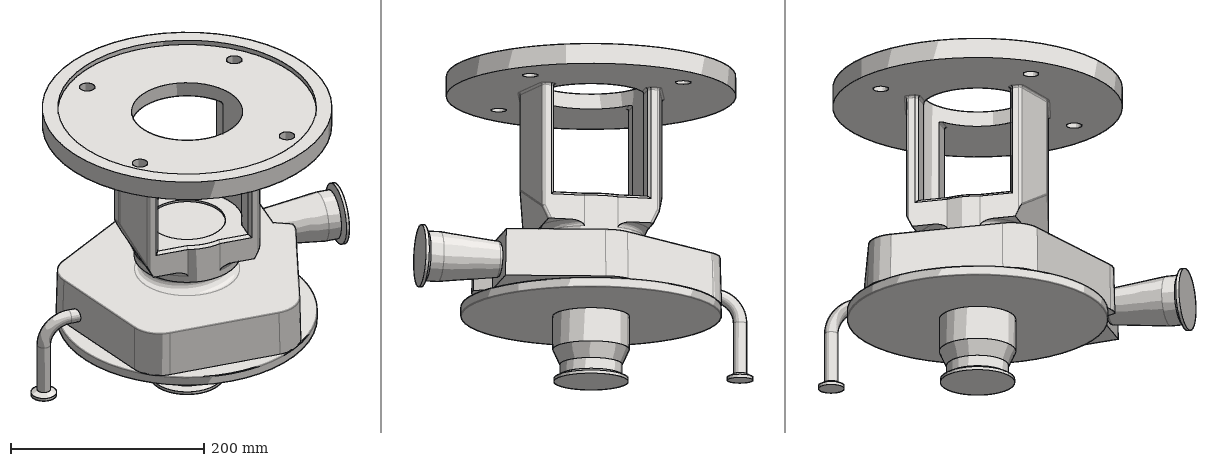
import cadquery as cq
import math

COVER_BOTTOM = 69.5
CASING_BOTTOM = 79.5
CASING_TOP = 129.5
COLLAR_BOTTOM = 145.5
YOKE_BOTTOM = 159.5
FLANGE_BOTTOM = 303.2
FLANGE_TOP = 324.5

FLANGE_DIAMETER = 300.0
RECESS_RADIUS = 134.0
RECESS_DEPTH = 5.2
BORE_RADIUS = 57.5
BOLT_SPACING = 161.5
BOLT_HOLE_DIAMETER = 16.0

YOKE_HALF_WIDTH = 52.0
YOKE_CORNER_Y = 61.5
YOKE_RIDGE_Y = 75.3
SLOPE_TOP = 199.8
SLOPE_FOOT_Y = 55.5
YOKE_EDGE_FILLET = 3.0
RIDGE_FILLET = 7.8
LEG_TOP_FILLET = 2.2
OPENING_HALF_WIDTH = 49.5
OPENING_FLOOR = 188.5
OPENING_CHAMFER = 3.0

COLLAR_RADIUS = 55.0
COLLAR_FILLET = 6.3
FLOOR_RECESS_RADIUS = 39.5
FLOOR_RECESS_DEPTH = 2.2
NECK_RADIUS = 45.0
NECK_FLARE = 9.5

CASING_APOTHEM = 116.0
CASING_SIDES = 5
CASING_CORNER_RADIUS = 32.5
CASING_DRAFT = 1.3
SHOULDER_Y = 116.0
SHOULDER_LEFT_X = -123.8
SHOULDER_RIGHT_X = -57.5
SHOULDER_TIP = (-48.0, 134.2)
TIP_ARC_START_X = -35.0
COVER_RADIUS = 135.0
EDGE_BREAK = 0.7

SUCTION_RADIUS = 39.5
SUCTION_END_RADIUS = 32.3
SUCTION_CONE_BOTTOM = 18.0
SUCTION_CONE_TOP = 34.0
SUCTION_RIM_RADIUS = 38.5

OUTLET_X = -91.2
OUTLET_Z = 103.5
OUTLET_END_Y = 199.8
OUTLET_RADIUS = 26.0
OUTLET_ROOT_RADIUS = 19.0
OUTLET_STRAIGHT = 20.5
OUTLET_CONE_END = 81.5
OUTLET_ROOT_ROUNDING = 3.0
OUTLET_RIM_RADIUS = 32.3

DRAIN_RADIUS = 7.0
DRAIN_Y = -157.5
DRAIN_Z = 97.5
DRAIN_BEND_RADIUS = 28.0
DRAIN_END_Z = 9.0
DRAIN_RIM_RADIUS = 13.5

RIM_THICKNESS = 3.5
FERRULE_LENGTH = 6.5

EDGE_MARGIN = 0.5
EMBED = 7.5


def cylinder(radius, bottom, top):
    return cq.Workplane("XY").workplane(offset=bottom).circle(radius).extrude(top - bottom)


def ferrule(rim_radius, pipe_radius):
    """Clamp rim at Z = 0, tapering to the pipe radius above it."""
    return (
        cq.Workplane("XZ")
        .lineTo(rim_radius, 0)
        .lineTo(rim_radius, RIM_THICKNESS)
        .lineTo(pipe_radius, FERRULE_LENGTH)
        .lineTo(0, FERRULE_LENGTH)
        .close()
        .revolve(360, (0, 0), (0, 1))
    )


def motor_flange():
    disc = cylinder(FLANGE_DIAMETER / 2, FLANGE_BOTTOM, FLANGE_TOP)
    recess = cylinder(RECESS_RADIUS, FLANGE_TOP - RECESS_DEPTH, FLANGE_TOP)
    holes = (
        cq.Workplane("XY")
        .workplane(offset=FLANGE_BOTTOM)
        .rect(BOLT_SPACING, BOLT_SPACING, forConstruction=True)
        .vertices()
        .circle(BOLT_HOLE_DIAMETER / 2)
        .extrude(FLANGE_TOP - FLANGE_BOTTOM)
    )
    return disc.cut(recess).cut(holes)


def yoke_plan():
    """Six-sided plan of the yoke, ridged on its front and back."""
    right = [(YOKE_HALF_WIDTH, -YOKE_CORNER_Y), (YOKE_HALF_WIDTH, YOKE_CORNER_Y)]
    left = [(-x, -y) for x, y in right]
    points = right + [(0, YOKE_RIDGE_Y)] + left + [(0, -YOKE_RIDGE_Y)]
    return cq.Workplane("XY").workplane(offset=YOKE_BOTTOM).polyline(points).close()


def yoke_block():
    """Solid yoke with sloping undersides and softened edges."""
    prism = yoke_plan().extrude(FLANGE_BOTTOM - YOKE_BOTTOM)
    prism = prism.edges("|Z").edges(">Y or <Y").fillet(RIDGE_FILLET)
    side_profile = (
        cq.Workplane("YZ")
        .moveTo(-SLOPE_FOOT_Y, YOKE_BOTTOM)
        .lineTo(SLOPE_FOOT_Y, YOKE_BOTTOM)
        .lineTo(YOKE_RIDGE_Y, SLOPE_TOP)
        .lineTo(YOKE_RIDGE_Y, FLANGE_BOTTOM)
        .lineTo(-YOKE_RIDGE_Y, FLANGE_BOTTOM)
        .lineTo(-YOKE_RIDGE_Y, SLOPE_TOP)
        .close()
        .extrude(YOKE_HALF_WIDTH, both=True)
    )
    block = prism.intersect(side_profile)
    slope_edges = cq.selectors.BoxSelector(
        (-YOKE_HALF_WIDTH, -YOKE_RIDGE_Y, YOKE_BOTTOM + EDGE_MARGIN),
        (YOKE_HALF_WIDTH, YOKE_RIDGE_Y, SLOPE_TOP + EDGE_MARGIN),
    )
    corner_edges = cq.StringSyntaxSelector("|Z and (<X or >X)")
    return block.edges(slope_edges + corner_edges).fillet(YOKE_EDGE_FILLET)


def collar_fillet():
    """Concave ring between the collar and the underside of the yoke."""
    outer = COLLAR_RADIUS + COLLAR_FILLET
    low = YOKE_BOTTOM - COLLAR_FILLET
    bulge = COLLAR_FILLET * (1 - math.sqrt(0.5))
    ring = (
        cq.Workplane("XZ")
        .moveTo(0, low)
        .lineTo(COLLAR_RADIUS, low)
        .threePointArc((COLLAR_RADIUS + bulge, YOKE_BOTTOM - bulge), (outer, YOKE_BOTTOM))
        .lineTo(0, YOKE_BOTTOM)
        .close()
        .revolve(360, (0, 0), (0, 1))
    )
    footprint = cq.Workplane("XY").workplane(offset=low).rect(2 * YOKE_HALF_WIDTH, 2 * SLOPE_FOOT_Y)
    return ring.intersect(footprint.extrude(COLLAR_FILLET))


def yoke():
    body = yoke_block().union(cylinder(COLLAR_RADIUS, COLLAR_BOTTOM, OPENING_FLOOR)).union(collar_fillet())
    opening = (
        cq.Workplane("XY")
        .workplane(offset=OPENING_FLOOR)
        .rect(4 * YOKE_HALF_WIDTH, 2 * OPENING_HALF_WIDTH)
        .extrude(FLANGE_BOTTOM - OPENING_FLOOR)
    )
    return body.cut(opening)


def neck():
    """Round neck that flares out onto the casing."""
    flare_top = CASING_TOP + NECK_FLARE
    bulge = NECK_FLARE * (1 - math.sqrt(0.5))
    return (
        cq.Workplane("XZ")
        .moveTo(0, CASING_TOP)
        .lineTo(NECK_RADIUS + NECK_FLARE, CASING_TOP)
        .threePointArc((NECK_RADIUS + bulge, CASING_TOP + bulge), (NECK_RADIUS, flare_top))
        .lineTo(NECK_RADIUS, COLLAR_BOTTOM)
        .lineTo(0, COLLAR_BOTTOM)
        .close()
        .revolve(360, (0, 0), (0, 1))
    )


def casing():
    """Drafted casing: a pentagon whose fifth corner is replaced by the outlet shoulder."""
    half_angle = math.pi / CASING_SIDES
    corner_distance = CASING_APOTHEM / math.cos(half_angle)
    corners = []
    for index in range(CASING_SIDES - 1):
        angle = math.pi + 2 * half_angle * index
        corners.append((corner_distance * math.cos(angle), corner_distance * math.sin(angle)))
    back_normal = 2 * half_angle
    arc_start_y = (CASING_APOTHEM - TIP_ARC_START_X * math.cos(back_normal)) / math.sin(back_normal)
    body = (
        cq.Workplane("XY")
        .workplane(offset=CASING_BOTTOM)
        .polyline([(SHOULDER_LEFT_X, SHOULDER_Y)] + corners + [(TIP_ARC_START_X, arc_start_y)])
        .tangentArcPoint(SHOULDER_TIP, relative=False)
        .lineTo(SHOULDER_RIGHT_X, SHOULDER_Y)
        .close()
        .extrude(CASING_TOP - CASING_BOTTOM, taper=CASING_DRAFT)
    )
    mid_height = (CASING_BOTTOM + CASING_TOP) / 2
    for x, y in corners:
        edge = cq.selectors.NearestToPointSelector((x, y, mid_height))
        body = body.edges(edge).fillet(CASING_CORNER_RADIUS)
    return body.faces(">Z").edges().fillet(EDGE_BREAK)


def cover():
    return cylinder(COVER_RADIUS, COVER_BOTTOM, CASING_BOTTOM).edges("%CIRCLE").fillet(EDGE_BREAK)


def suction_pipe():
    pipe = (
        cq.Workplane("XZ")
        .lineTo(SUCTION_END_RADIUS, 0)
        .lineTo(SUCTION_END_RADIUS, SUCTION_CONE_BOTTOM)
        .lineTo(SUCTION_RADIUS, SUCTION_CONE_TOP)
        .lineTo(SUCTION_RADIUS, COVER_BOTTOM)
        .lineTo(0, COVER_BOTTOM)
        .close()
        .revolve(360, (0, 0), (0, 1))
    )
    return pipe.union(ferrule(SUCTION_RIM_RADIUS, SUCTION_END_RADIUS))


def outlet_pipe():
    """Tapered outlet, built from its end face and turned to point along +Y."""
    root = OUTLET_CONE_END + OUTLET_ROOT_ROUNDING
    neck_radius = OUTLET_ROOT_RADIUS - OUTLET_ROOT_ROUNDING
    pipe = (
        cq.Workplane("XZ")
        .lineTo(OUTLET_RADIUS, 0)
        .lineTo(OUTLET_RADIUS, OUTLET_STRAIGHT)
        .lineTo(OUTLET_ROOT_RADIUS, OUTLET_CONE_END)
        .tangentArcPoint((neck_radius, root), relative=False)
        .lineTo(neck_radius, root + EMBED)
        .lineTo(0, root + EMBED)
        .close()
        .revolve(360, (0, 0), (0, 1))
    )
    pipe = pipe.union(ferrule(OUTLET_RIM_RADIUS, OUTLET_RADIUS))
    return pipe.rotate((0, 0, 0), (1, 0, 0), 90).translate((OUTLET_X, OUTLET_END_Y, OUTLET_Z))


def drain_pipe():
    """Thin pipe leaving the casing toward -Y and bending down to a ferrule."""
    bend_start_y = DRAIN_Y + DRAIN_BEND_RADIUS
    bend_end_z = DRAIN_Z - DRAIN_BEND_RADIUS
    path = (
        cq.Workplane("YZ")
        .moveTo(DRAIN_Y, DRAIN_END_Z)
        .lineTo(DRAIN_Y, bend_end_z)
        .tangentArcPoint((bend_start_y, DRAIN_Z), relative=False)
        .lineTo(EMBED - CASING_APOTHEM, DRAIN_Z)
    )
    section = cq.Workplane("XY", origin=(0, DRAIN_Y, DRAIN_END_Z)).circle(DRAIN_RADIUS)
    end = ferrule(DRAIN_RIM_RADIUS, DRAIN_RADIUS).translate((0, DRAIN_Y, DRAIN_END_Z))
    return section.sweep(path).union(end)


def chamfered_opening(body):
    """Bevel the outer edges of the yoke opening on both sides."""
    reach = COLLAR_RADIUS + EMBED
    for side in (-1, 1):
        near_x = side * OPENING_HALF_WIDTH
        far_x = side * reach
        rim = cq.selectors.BoxSelector(
            (near_x, -OPENING_HALF_WIDTH - EDGE_MARGIN, OPENING_FLOOR - EDGE_MARGIN),
            (far_x, OPENING_HALF_WIDTH + EDGE_MARGIN, FLANGE_BOTTOM - EDGE_MARGIN),
        )
        body = body.edges(rim).chamfer(OPENING_CHAMFER)
    return body


def frame():
    """Yoke joined to the motor flange, with the bore running down to the collar floor."""
    body = chamfered_opening(yoke()).union(motor_flange())
    leg_tops = cq.selectors.BoxSelector(
        (-COLLAR_RADIUS, -YOKE_RIDGE_Y, FLANGE_BOTTOM - EDGE_MARGIN),
        (COLLAR_RADIUS, YOKE_RIDGE_Y, FLANGE_BOTTOM + EDGE_MARGIN),
        boundingbox=True,
    )
    body = body.edges(leg_tops).fillet(LEG_TOP_FILLET)
    bore = cylinder(BORE_RADIUS, OPENING_FLOOR, FLANGE_TOP)
    floor_recess = cylinder(FLOOR_RECESS_RADIUS, OPENING_FLOOR - FLOOR_RECESS_DEPTH, OPENING_FLOOR)
    return body.cut(bore).cut(floor_recess)


result = (
    casing()
    .union(cover())
    .union(neck())
    .union(frame())
    .union(suction_pipe())
    .union(outlet_pipe())
    .union(drain_pipe())
)